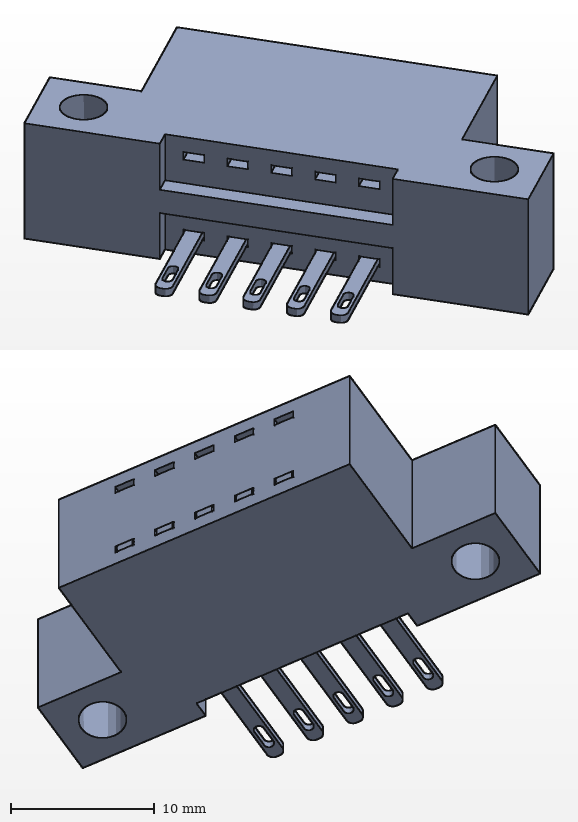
import cadquery as cq

FLANGE_LENGTH = 36.45
FLANGE_DEPTH = 6.38
BLOCK_LENGTH = 23.2
HOUSING_DEPTH = 15.25
HOUSING_HEIGHT = 9.4

MOUNT_HOLE_DIAMETER = 3.3
MOUNT_HOLE_SPACING = 29.7

RECESS_LENGTH = 16.85
RECESS_DEPTH = 1.3
RECESS_HEIGHT = 3.75

CONTACT_COUNT = 5
CONTACT_PITCH = 3.17
SLOT_WIDTH = 1.5
SLOT_HEIGHT = 0.62
SLOT_ROW_INSET = 1.53

CONTACT_WIDTH = 1.25
CONTACT_PROJECTION = 6.6
CONTACT_TIP_RADIUS = 0.5
EYE_WIDTH = 0.73
EYE_LENGTH = 2.1
EYE_TO_TIP = 2.05

LOWER_ROW_Z = SLOT_ROW_INSET
UPPER_ROW_Z = HOUSING_HEIGHT - SLOT_ROW_INSET
CONTACT_XS = [(i - (CONTACT_COUNT - 1) / 2) * CONTACT_PITCH for i in range(CONTACT_COUNT)]


def centred_box(length, depth, height, x=0, z=0):
    """Box centred on x and z that starts at Y = 0 and runs toward +Y."""
    return cq.Workplane("XY").box(length, depth, height, centered=(True, False, True)).translate((x, 0, z))


def make_housing():
    middle_z = HOUSING_HEIGHT / 2
    flange = centred_box(FLANGE_LENGTH, FLANGE_DEPTH, HOUSING_HEIGHT, z=middle_z)
    block = centred_box(BLOCK_LENGTH, HOUSING_DEPTH, HOUSING_HEIGHT, z=middle_z)
    housing = flange.union(block)

    mount_holes = (
        cq.Workplane("XY")
        .pushPoints([(side * MOUNT_HOLE_SPACING / 2, FLANGE_DEPTH / 2) for side in (-1, 1)])
        .circle(MOUNT_HOLE_DIAMETER / 2)
        .extrude(HOUSING_HEIGHT)
    )
    housing = housing.cut(mount_holes)

    for recess_z in (RECESS_HEIGHT / 2, HOUSING_HEIGHT - RECESS_HEIGHT / 2):
        housing = housing.cut(centred_box(RECESS_LENGTH, RECESS_DEPTH, RECESS_HEIGHT, z=recess_z))

    for row_z in (LOWER_ROW_Z, UPPER_ROW_Z):
        for x in CONTACT_XS:
            housing = housing.cut(centred_box(SLOT_WIDTH, HOUSING_DEPTH, SLOT_HEIGHT, x, row_z))
    return housing


def make_contact(x):
    """Flat contact with a rounded tip and an eye, flush with the back of the housing."""
    strip = (
        centred_box(CONTACT_WIDTH, CONTACT_PROJECTION + HOUSING_DEPTH, SLOT_HEIGHT)
        .edges("|Z and <Y")
        .fillet(CONTACT_TIP_RADIUS)
    )
    eye = (
        cq.Workplane("XY")
        .center(0, EYE_TO_TIP)
        .slot2D(EYE_LENGTH, EYE_WIDTH, 90)
        .extrude(SLOT_HEIGHT / 2, both=True)
    )
    return strip.cut(eye).translate((x, -CONTACT_PROJECTION, LOWER_ROW_Z))


housing = make_housing()
contacts = [make_contact(x) for x in CONTACT_XS]

result = cq.Compound.makeCompound([housing.val(), *[contact.val() for contact in contacts]])